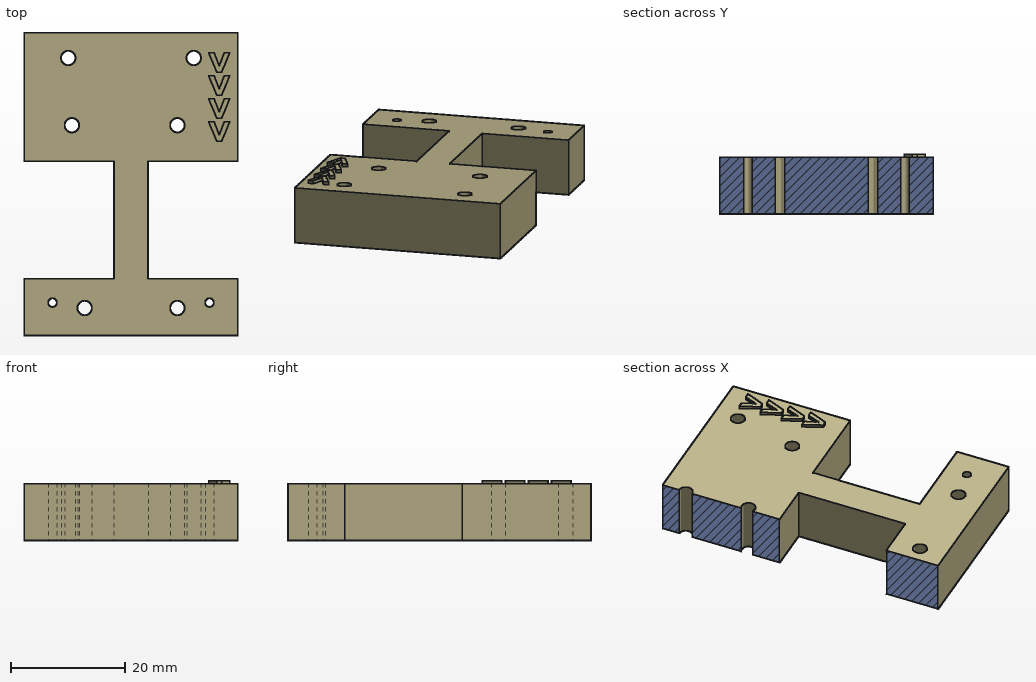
import cadquery as cq

width = 37.5
length = 53.15
thickness = 10.0

front_bar_depth = 10.0
rear_plate_depth = 22.6
web_width = 6.0

large_hole_diameter = 2.5
small_hole_diameter = 1.5
rear_hole_x = 11.0
rear_hole_y = 48.7
inner_hole_x = 8.15
middle_left_hole_x = -10.35
middle_hole_y = 36.9
front_hole_y = 4.85
small_hole_x = 13.75
small_hole_y = 5.8

large_holes = [
    (-rear_hole_x, rear_hole_y),
    (rear_hole_x, rear_hole_y),
    (middle_left_hole_x, middle_hole_y),
    (inner_hole_x, middle_hole_y),
    (-inner_hole_x, front_hole_y),
    (inner_hole_x, front_hole_y),
]
small_holes = [(-small_hole_x, small_hole_y), (small_hole_x, small_hole_y)]

mark_count = 4
mark_pitch = 4.05
mark_x = 15.45
first_mark_y = 49.65
mark_height = 0.55
mark_length = 3.45
mark_half_width = 1.85
mark_notch_half_width = 0.9
mark_notch_depth = 2.35
mark_tip_half_width = 0.4


def block(size_x, size_y, start_y):
    """Full-thickness block centred in X, starting at start_y."""
    solid = cq.Workplane("XY").box(size_x, size_y, thickness, centered=(True, False, False))
    return solid.translate((0, start_y, 0))


def through_holes(points, diameter):
    return cq.Workplane("XY").pushPoints(points).circle(diameter / 2).extrude(thickness)


def v_mark(back_y):
    """Raised V whose open end lies at back_y."""
    outline = [
        (-mark_half_width, 0),
        (-mark_notch_half_width, 0),
        (0, -mark_notch_depth),
        (mark_notch_half_width, 0),
        (mark_half_width, 0),
        (mark_tip_half_width, -mark_length),
        (-mark_tip_half_width, -mark_length),
    ]
    mark = cq.Workplane("XY").polyline(outline).close().extrude(mark_height)
    return mark.translate((mark_x, back_y, thickness))


rear_plate_start = length - rear_plate_depth
web_length = rear_plate_start - front_bar_depth
front_bar = block(width, front_bar_depth, 0)
web = block(web_width, web_length, front_bar_depth)
rear_plate = block(width, rear_plate_depth, rear_plate_start)
body = front_bar.union(web).union(rear_plate)

body = body.cut(through_holes(large_holes, large_hole_diameter))
body = body.cut(through_holes(small_holes, small_hole_diameter))

for index in range(mark_count):
    body = body.union(v_mark(first_mark_y - index * mark_pitch))

result = body